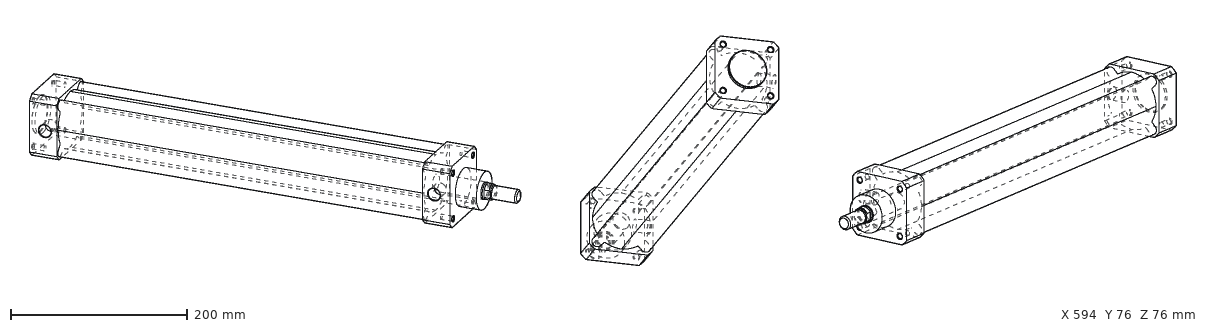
import cadquery as cq
import math

total_length = 594.0
spigot_length = 4.0
cap_length = 34.0
front_boss_end = 551.0
front_boss_length = 26.0
front_cap_end = front_boss_end - front_boss_length
front_cap_start = front_cap_end - cap_length
rear_cap_end = spigot_length + cap_length

cap_width = 76.0
cap_corner_diameter = 98.5
boss_diameter = 45.0
spigot_chamfer = 0.5
port_diameter = 16.0
port_depth = 18.0
port_chamfer = 0.5
rear_port_inset = 19.0
front_port_inset = 19.5
port_offset = 2.5
screw_hole_diameter = 8.0
screw_hole_depth = 15.0
screw_hole_chamfer = 0.9
screw_hole_pitch = 56.5

post_radius = 6.0
post_pitch = 57.5
post_offset = post_pitch / 2
ridge_height = 34.5
ridge_half_width = 6.5
ridge_slope = 9.2
side_radius = 36.0
side_end = 21.0
notch_fillet = 1.0

rod_diameter = 20.0
rod_end = 553.0
wrench_diameter = 19.0
wrench_start = 555.0
wrench_end = 561.0
shoulder_diameter = 18.0
shoulder_start = 562.5
across_flats = 16.5
thread_diameter = 16.0
thread_start = 564.0
thread_chamfer = 2.0


def x_cylinder(diameter, start, end, y=0, z=0):
    """Solid cylinder parallel to X between two X positions."""
    return cq.Workplane("YZ", origin=(start, y, z)).circle(diameter / 2).extrude(end - start)


def hole_cutter(mouth_diameter, depth, chamfer, mouth, direction):
    """Blind hole tool: a bore narrower than its mouth by a short 45 degree chamfer."""
    mouth_radius = mouth_diameter / 2
    bore_radius = mouth_radius - chamfer
    bore = cq.Solid.makeCylinder(bore_radius, depth, mouth, direction)
    return bore.fuse(cq.Solid.makeCone(mouth_radius, bore_radius, chamfer, mouth, direction))


def make_cap(start, outer_face, port_x, port_z):
    """Square cap with a side port and four screw holes sunk from its outer face."""
    cap = (
        cq.Workplane("YZ", origin=(start, 0, 0))
        .rect(cap_width, cap_width)
        .extrude(cap_length)
        .intersect(x_cylinder(cap_corner_diameter, start, start + cap_length))
    )
    inward = 1 if outer_face == start else -1
    half_pitch = screw_hole_pitch / 2
    for y in (-half_pitch, half_pitch):
        for z in (-half_pitch, half_pitch):
            mouth = cq.Vector(outer_face, y, z)
            screw_hole = hole_cutter(
                screw_hole_diameter, screw_hole_depth, screw_hole_chamfer, mouth, cq.Vector(inward, 0, 0)
            )
            cap = cap.cut(screw_hole)
    port_mouth = cq.Vector(port_x, -cap_width / 2, port_z)
    return cap.cut(hole_cutter(port_diameter, port_depth, port_chamfer, port_mouth, cq.Vector(0, 1, 0)))


def make_rear_cap():
    """Rear cap with a short, chamfered centring spigot."""
    cap = make_cap(spigot_length, spigot_length, spigot_length + rear_port_inset, -port_offset)
    spigot = x_cylinder(boss_diameter, 0, spigot_length).faces("<X").chamfer(spigot_chamfer)
    return cap.union(spigot)


def make_front_cap():
    """Front cap with its rod boss, bored through for the rod."""
    cap = make_cap(front_cap_start, front_cap_end, front_cap_end - front_port_inset, port_offset)
    boss = x_cylinder(boss_diameter, front_cap_end, front_boss_end)
    rod_bore = x_cylinder(rod_diameter, front_cap_start, front_boss_end)
    return cap.union(boss).cut(rod_bore)


def side_height(half_width):
    """Height of a curved side stretch above the tube axis at a distance from the ridge line."""
    ridge_foot = ridge_height - ridge_half_width * math.tan(math.radians(ridge_slope))
    arc_centre = ridge_foot - math.sqrt(side_radius**2 - ridge_half_width**2)
    return arc_centre + math.sqrt(side_radius**2 - half_width**2)


def is_notch(edge):
    """True for the inner corners between the curved sides and the necks."""
    y, z = abs(edge.Center().y), abs(edge.Center().z)
    return min(y, z) > 2 * ridge_half_width and max(y, z) < post_offset


def make_tube():
    """Extruded profile: four ridged, curved sides and four round posts on diagonal necks."""
    side_middle = (ridge_half_width + side_end) / 2
    foot = (ridge_half_width, side_height(ridge_half_width))
    middle = (side_middle, side_height(side_middle))
    end = (side_end, side_height(side_end))
    tube_length = front_cap_start - rear_cap_end

    def mirrored(point):
        return (-point[0], point[1])

    sector = (
        cq.Workplane("YZ", origin=(rear_cap_end, 0, 0))
        .moveTo(0, 0)
        .lineTo(*mirrored(end))
        .threePointArc(mirrored(middle), mirrored(foot))
        .lineTo(0, ridge_height)
        .lineTo(*foot)
        .threePointArc(middle, end)
        .close()
        .extrude(tube_length)
    )
    neck_length = post_offset * math.sqrt(2)
    neck = (
        cq.Workplane("YZ", origin=(rear_cap_end, 0, 0))
        .center(0, neck_length / 2)
        .rect(2 * post_radius, neck_length)
        .extrude(tube_length)
        .rotate((0, 0, 0), (1, 0, 0), 45)
    )
    post = x_cylinder(2 * post_radius, rear_cap_end, front_cap_start, -post_offset, post_offset)
    corner = neck.union(post)

    tube = sector.union(corner)
    for angle in (90, 180, 270):
        tube = tube.union(sector.union(corner).rotate((0, 0, 0), (1, 0, 0), angle))
    notch_edges = [edge for edge in tube.edges("|X").vals() if is_notch(edge)]
    return tube.newObject(notch_edges).fillet(notch_fillet)


def make_rod():
    """Turned rod through the front cap, with two wrench flats and a chamfered threaded end."""
    rod_radius = rod_diameter / 2
    wrench_radius = wrench_diameter / 2
    thread_radius = thread_diameter / 2
    rod = (
        cq.Workplane("XY")
        .moveTo(front_cap_start, 0)
        .lineTo(front_cap_start, rod_radius)
        .lineTo(rod_end, rod_radius)
        .lineTo(wrench_start, wrench_radius)
        .lineTo(wrench_end, wrench_radius)
        .lineTo(shoulder_start, shoulder_diameter / 2)
        .lineTo(thread_start, thread_radius)
        .lineTo(total_length - thread_chamfer, thread_radius)
        .lineTo(total_length, thread_radius - thread_chamfer)
        .lineTo(total_length, 0)
        .close()
        .revolve(360, (0, 0, 0), (1, 0, 0))
    )
    flat_length = shoulder_start - wrench_start
    flat_middle = (wrench_start + shoulder_start) / 2
    flat_depth = (rod_diameter - across_flats) / 2
    for side in (-1, 1):
        flat_y = side * (across_flats + flat_depth) / 2
        flat = cq.Workplane("XY", origin=(flat_middle, flat_y, 0)).box(flat_length, flat_depth, rod_diameter)
        rod = rod.cut(flat)
    return rod


rear_cap = make_rear_cap()
front_cap = make_front_cap()
tube = make_tube()
rod = make_rod()
result = cq.Compound.makeCompound([
    *rear_cap.solids().vals(),
    *front_cap.solids().vals(),
    *tube.solids().vals(),
    *rod.solids().vals(),
])